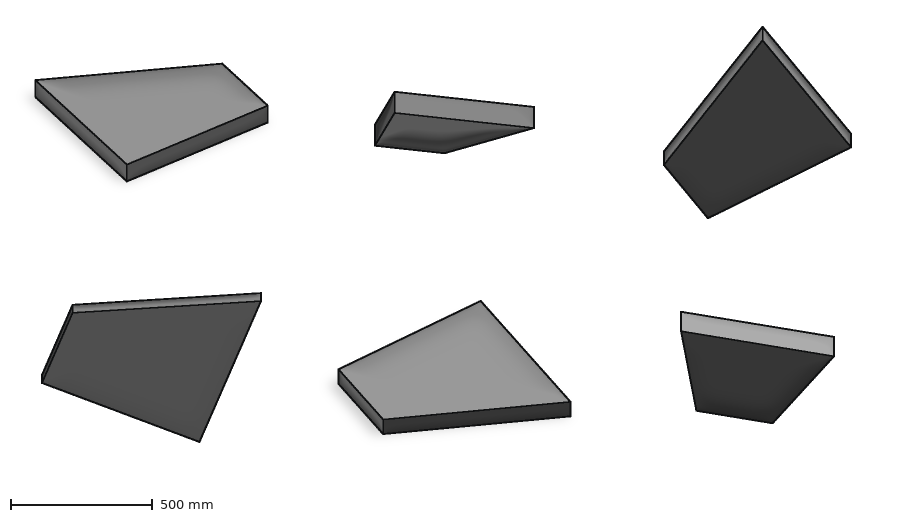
import cadquery as cq

front_width = 579.5
back_width = 288.5
depth = 600.0
thickness = 76.0

right_x = front_width / 2
outline = [
    (right_x - front_width, -depth / 2),
    (right_x, -depth / 2),
    (right_x, depth / 2),
    (right_x - back_width, depth / 2),
]

result = cq.Workplane("XY").polyline(outline).close().extrude(thickness)